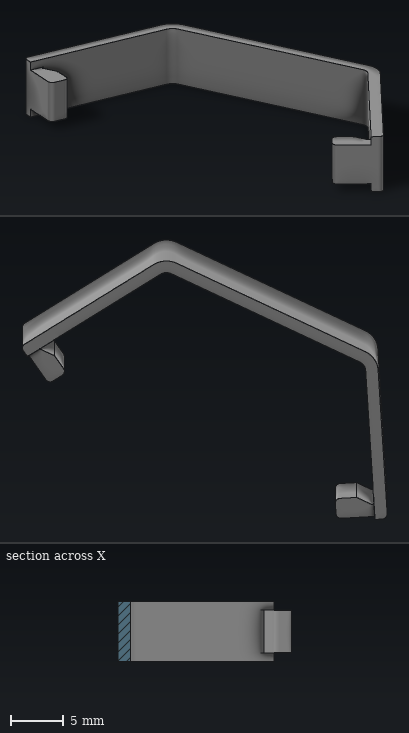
import cadquery as cq
import math

strip_height = 5.8
strip_thickness = 1.2
overall_width = 39.1
overall_depth = 16.7
back_half_width = 11.4
leg_angle = math.radians(60)
inner_bend_radius = 1.0
outer_bend_radius = inner_bend_radius + strip_thickness

hook_height = 4.1
hook_tip_width = 2.07
hook_shoulder_y = -14.05
hook_root_radius = 0.2
edge_radius = 0.5

down_leg = cq.Vector(-math.cos(leg_angle), -math.sin(leg_angle))
inward = cq.Vector(math.sin(leg_angle), -math.cos(leg_angle))

corner_loss = edge_radius * (math.sin(leg_angle) + math.cos(leg_angle) - 1)

outer_corner = cq.Vector(-back_half_width, 0)
inner_corner = cq.Vector(
    -back_half_width + strip_thickness * math.tan(leg_angle / 2), -strip_thickness
)
leg_end_x = -overall_width / 2 - corner_loss
leg_length = (leg_end_x + back_half_width) / down_leg.x
leg_end = outer_corner + down_leg * leg_length
leg_end_inside = leg_end + inward * strip_thickness

hook_tip_y = -overall_depth - corner_loss
hook_length = (hook_tip_y - leg_end.y) / inward.y
hook_tip = leg_end + inward * hook_length
hook_tip_top = hook_tip - down_leg * hook_tip_width
shoulder_run = (hook_shoulder_y - hook_tip_top.y) / inward.y
shoulder_end = hook_tip_top + inward * shoulder_run
root_distance = (hook_shoulder_y - inner_corner.y) / down_leg.y
hook_root = inner_corner + down_leg * root_distance


def prism(points, height):
    """Extrude a closed outline, centred on Z = 0."""
    outline = [(point.x, point.y) for point in points]
    return cq.Workplane("XY").polyline(outline).close().extrude(height / 2, both=True)


def round_edge(body, point, radius):
    """Fillet the vertical edge that passes through a corner point."""
    edge = cq.selectors.NearestToPointSelector((point.x, point.y, 0))
    return body.edges("|Z").edges(edge).fillet(radius)


def half_strip():
    back_outside = cq.Vector(0, 0)
    back_inside = cq.Vector(0, -strip_thickness)
    body = prism(
        [back_outside, outer_corner, leg_end, leg_end_inside, inner_corner, back_inside],
        strip_height,
    )
    body = round_edge(body, outer_corner, outer_bend_radius)
    body = round_edge(body, inner_corner, inner_bend_radius)
    return round_edge(body, leg_end, edge_radius)


def hook():
    body = prism(
        [leg_end_inside, hook_tip, hook_tip_top, shoulder_end, hook_root],
        hook_height,
    )
    body = round_edge(body, hook_tip, edge_radius)
    return round_edge(body, hook_tip_top, edge_radius)


left_half = round_edge(half_strip().union(hook()), hook_root, hook_root_radius)
result = left_half.union(left_half.mirror("YZ")).clean()